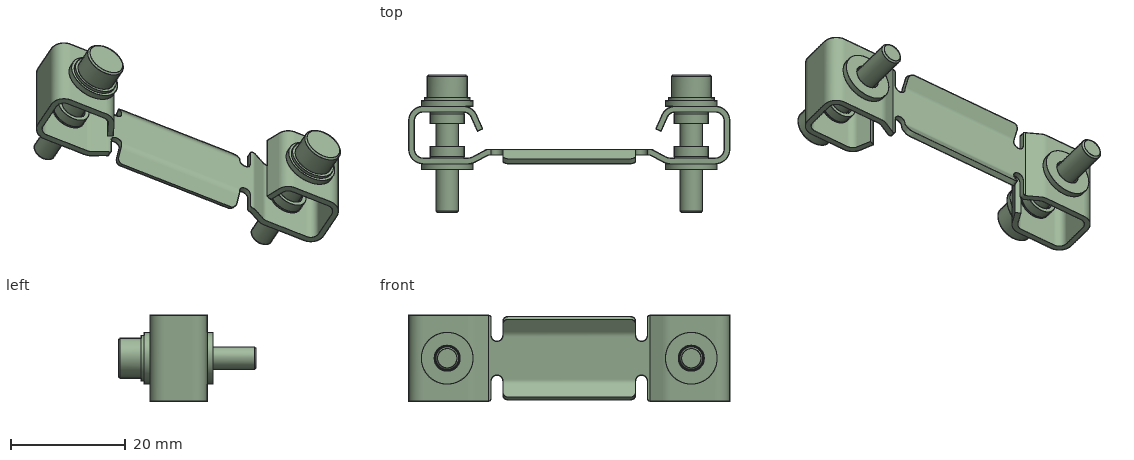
import cadquery as cq
import math


overall_length = 56.0
bracket_height = 15.0
box_depth = 10.0
sheet = 1.0
bend_inner = 1.5

web_setback = 1.5
web_half_length = 14.1
slant_angle = 28.0
lip_angle = 66.0
lip_length = 2.7
rear_wall_flat = 7.0

wing_half_length = 11.6
wing_fold_height = 3.75
wing_angle = 30.0
wing_flat = 2.65
wing_corner = 1.0
slot_width = 2.0
neck_half_height = 2.95
arm_corner = 0.5

screw_x = 21.3
shank_diameter = 4.0
shank_chamfer = 0.3
head_diameter = 7.0
head_height = 4.0
head_chamfer = 0.3
tip_reach = 8.5
washer_diameter = 8.0
washer_thickness = 0.5
washer_bore = 4.3
bushing_bore = 4.55
flange_diameter = 9.0
flange_thickness = 1.0
neck_diameter = 5.95
neck_protrusion = 0.3
collar_diameter = 6.0
collar_reach = 2.0

bend_outer = bend_inner + sheet
arm_start = wing_half_length + slot_width
rear_face = box_depth
head_seat = rear_face + flange_thickness + washer_thickness


def bent_strip(plane, start, heading, moves):
    """Closed outline of a bent sheet.

    start is on the left edge of the strip and heading is its direction in degrees.
    Each move is (length, turn, inner_radius): a straight run, then a bend of turn
    degrees, positive to the left and negative to the right.
    """

    def step(point, angle, distance):
        return (
            point[0] + distance * math.cos(math.radians(angle)),
            point[1] + distance * math.sin(math.radians(angle)),
        )

    left = start
    left_edge = []
    right_edge = []
    right_start = step(start, heading - 90, sheet)
    for length, turn, inner_radius in moves:
        left = step(left, heading, length)
        left_edge.append((None, left))
        right_edge.append((None, step(left, heading - 90, sheet)))
        if turn == 0:
            continue
        side = math.copysign(90, turn)
        left_radius = inner_radius if turn > 0 else inner_radius + sheet
        right_radius = inner_radius + sheet if turn > 0 else inner_radius
        centre = step(left, heading + side, left_radius)
        middle = heading + turn / 2 - side
        heading += turn
        left = step(centre, heading - side, left_radius)
        if left_radius > 0:
            left_edge.append((step(centre, middle, left_radius), left))
        if right_radius > 0:
            right_end = step(centre, heading - side, right_radius)
            right_edge.append((step(centre, middle, right_radius), right_end))

    def draw(outline, through, end):
        return outline.threePointArc(through, end) if through else outline.lineTo(*end)

    outline = cq.Workplane(plane).moveTo(*start)
    for through, end in left_edge:
        outline = draw(outline, through, end)

    right_points = [right_start] + [end for _, end in right_edge]
    outline = outline.lineTo(*right_points.pop())
    for through, _ in reversed(right_edge):
        outline = draw(outline, through, right_points.pop())
    return outline.close()


def make_arm():
    """Left arm: slanted link, front wall, end wall, rear wall and lip."""
    slant = math.radians(slant_angle)
    slant_length = (web_setback - bend_outer * (1 - math.cos(slant))) / math.sin(slant)
    front_wall_start = web_half_length + slant_length * math.cos(slant) + bend_outer * math.sin(slant)
    front_wall_flat = overall_length / 2 - bend_outer - front_wall_start
    moves = [
        (web_half_length - arm_start, slant_angle, 0),
        (slant_length, -slant_angle, bend_inner),
        (front_wall_flat, -90, bend_inner),
        (box_depth - 2 * bend_outer, -90, bend_inner),
        (rear_wall_flat, -lip_angle, bend_inner),
        (lip_length, 0, 0),
    ]
    arm = bent_strip("XY", (-arm_start, web_setback), 180, moves)
    arm = arm.extrude(bracket_height / 2, both=True)
    return arm.edges("|Y and >X").fillet(arm_corner)


def make_wings():
    """Web between the arms, with an upper and a lower wing folded forward."""
    moves = [
        (wing_fold_height, wing_angle, bend_inner),
        (wing_flat, 0, 0),
    ]
    upper = bent_strip("YZ", (web_setback, 0), 90, moves).extrude(wing_half_length, both=True)
    fold = math.radians(wing_angle)
    across_wing = cq.Vector(0, math.cos(fold), math.sin(fold))
    upper = upper.edges(cq.selectors.ParallelDirSelector(across_wing)).fillet(wing_corner)
    return upper.union(upper.mirror("XY"))


def make_links():
    """Web bridges between wings and arms, rounded at the bottom of each slot."""
    root_height = neck_half_height + slot_width / 2
    links = []
    for side in (-1, 1):
        middle = side * (wing_half_length + slot_width / 2)
        bridge = cq.Workplane("XY").box(slot_width, sheet, 2 * root_height)
        bridge = bridge.translate((middle, web_setback + sheet / 2, 0))
        slot_ends = (
            cq.Workplane("XZ", origin=(middle, web_setback, 0))
            .pushPoints([(0, root_height), (0, -root_height)])
            .circle(slot_width / 2)
            .extrude(-sheet)
        )
        links.append(bridge.cut(slot_ends))
    return links


def make_bracket():
    arm = make_arm()
    bracket = make_wings().union(arm).union(arm.mirror("YZ"))
    for link in make_links():
        bracket = bracket.union(link)
    for side in (-1, 1):
        bracket = bracket.cut(rod(side, neck_diameter, 0, box_depth))
    return bracket


def rod(side, diameter, y_start, y_end):
    """Cylinder along Y on the screw axis of one side."""
    base = cq.Workplane("XZ", origin=(side * screw_x, y_start, 0))
    return base.circle(diameter / 2).extrude(y_start - y_end)


def make_screw(side):
    shank = rod(side, shank_diameter, -tip_reach, head_seat).faces("<Y").chamfer(shank_chamfer)
    head = rod(side, head_diameter, head_seat, head_seat + head_height)
    return shank.union(head.faces(">Y").chamfer(head_chamfer))


def make_washer(side):
    washer = rod(side, washer_diameter, rear_face + flange_thickness, head_seat)
    return washer.cut(rod(side, washer_bore, rear_face, head_seat))


def make_front_bushing(side):
    """Flange outside the front wall, neck through it, collar inside."""
    neck_end = sheet + neck_protrusion
    collar_end = sheet + collar_reach
    bushing = (
        rod(side, flange_diameter, -flange_thickness, 0)
        .union(rod(side, neck_diameter, 0, neck_end))
        .union(rod(side, collar_diameter, neck_end, collar_end))
    )
    return bushing.cut(rod(side, bushing_bore, -flange_thickness, collar_end))


def make_rear_bushing(side):
    """The front bushing mirrored onto the rear wall."""
    return make_front_bushing(side).mirror("XZ").translate((0, rear_face, 0))


bodies = [make_bracket().solids().val()]
for side in (-1, 1):
    for make_body in (make_screw, make_washer, make_front_bushing, make_rear_bushing):
        bodies.append(make_body(side).solids().val())

result = cq.Compound.makeCompound(bodies)